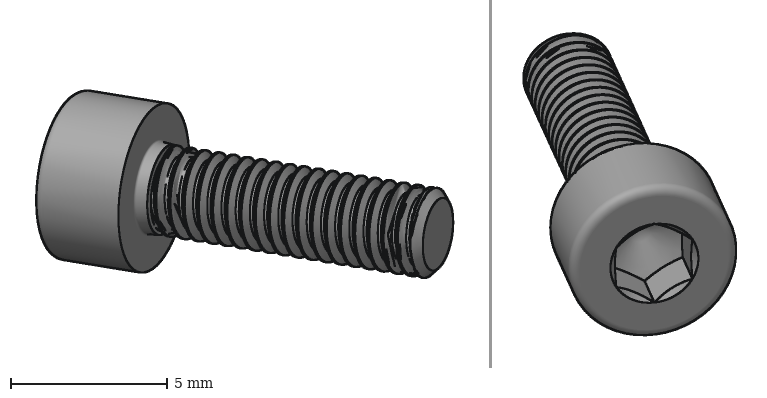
import cadquery as cq
import math


head_diameter = 5.5
head_height = 3.0
head_fillet = 0.3

socket_flats = 2.5
socket_depth = 1.45
socket_corners = socket_flats / math.cos(math.pi / 6)
socket_point_angle = 120.0
countersink_angle = 90.0

shank_length = 10.0
major_diameter = 2.93
minor_diameter = 2.36
pitch = 0.5
neck_diameter = 3.0
neck_length = 0.43
neck_fillet = 0.07
end_chamfer_length = 0.27
crest_width = pitch / 8
crest_start = 0.6
flank_slope = math.tan(math.radians(30))

major_radius = major_diameter / 2
minor_radius = minor_diameter / 2
neck_radius = neck_diameter / 2
thread_depth = major_radius - minor_radius
thread_end = shank_length - end_chamfer_length


def revolve_about_x(outline):
    """Close an outline drawn in (x, radius) and turn it round the X axis."""
    return outline.close().revolve(360, (0, 0, 0), (1, 0, 0))


def make_head():
    head = cq.Workplane("YZ").workplane(offset=-head_height).circle(head_diameter / 2).extrude(head_height)
    return head.faces("<X").edges().fillet(head_fillet)


def make_socket():
    """Hexagonal hole with a conical floor, plus the countersink that trims its mouth."""
    corner_radius = socket_corners / 2
    flat_radius = socket_flats / 2
    floor_x = socket_depth - head_height
    point_depth = corner_radius / math.tan(math.radians(socket_point_angle / 2))
    countersink_depth = (corner_radius - flat_radius) / math.tan(math.radians(countersink_angle / 2))

    hexagon = (
        cq.Workplane("YZ").workplane(offset=-head_height)
        .transformed(rotate=(0, 0, 90))
        .polygon(6, socket_corners)
        .extrude(socket_depth + point_depth)
    )
    drill = revolve_about_x(
        cq.Workplane("XY")
        .moveTo(-head_height, 0)
        .lineTo(-head_height, head_diameter / 2)
        .lineTo(floor_x, head_diameter / 2)
        .lineTo(floor_x, corner_radius)
        .lineTo(floor_x + point_depth, 0)
    )
    countersink = revolve_about_x(
        cq.Workplane("XY")
        .moveTo(-head_height, 0)
        .lineTo(-head_height, corner_radius)
        .lineTo(countersink_depth - head_height, flat_radius)
        .lineTo(countersink_depth - head_height, 0)
    )
    return hexagon.intersect(drill).union(countersink)


def make_neck():
    """Slightly tapered collar with a fillet where it meets the head."""
    return revolve_about_x(
        cq.Workplane("XY")
        .lineTo(0, neck_radius + neck_fillet)
        .radiusArc((neck_fillet, neck_radius), -neck_fillet)
        .lineTo(neck_length, major_radius)
        .lineTo(neck_length, 0)
    )


def make_end_chamfer():
    return revolve_about_x(
        cq.Workplane("XY")
        .moveTo(thread_end, 0)
        .lineTo(thread_end, major_radius)
        .lineTo(shank_length, minor_radius)
        .lineTo(shank_length, 0)
    )


def make_thread_groove():
    """Right-handed helical groove that runs past both ends of the thread."""
    clearance = 0.1
    overrun = 2.1 * pitch
    groove_start = crest_start - 1.5 * pitch
    groove_length = thread_end + overrun - groove_start
    root_half_width = (pitch - crest_width) / 2 - thread_depth * flank_slope
    outer_half_width = root_half_width + (thread_depth + clearance) * flank_slope
    outer_radius = major_radius + clearance

    helix = cq.Wire.makeHelix(
        pitch, groove_length, minor_radius, cq.Vector(groove_start, 0, 0), cq.Vector(1, 0, 0)
    )
    return (
        cq.Workplane("XZ")
        .moveTo(groove_start - root_half_width, minor_radius)
        .lineTo(groove_start - outer_half_width, outer_radius)
        .lineTo(groove_start + outer_half_width, outer_radius)
        .lineTo(groove_start + root_half_width, minor_radius)
        .close()
        .sweep(cq.Workplane(obj=helix), isFrenet=True)
    )


def make_threaded_shank():
    blank = cq.Workplane("YZ").circle(major_radius).extrude(thread_end)
    threaded = blank.cut(make_thread_groove())
    return threaded.union(make_neck()).union(make_end_chamfer())


result = make_head().union(make_threaded_shank()).cut(make_socket())